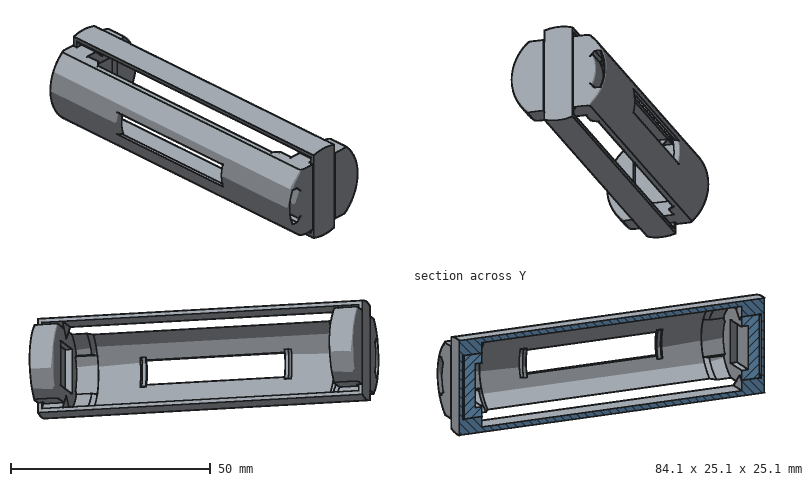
import cadquery as cq
import math

LENGTH = 84.13
RADIUS = 12.55
HALF_LENGTH = LENGTH / 2
REACH = 4 * RADIUS

STRAP_WIDTH = 7.4
STRAP_WINDOW_HEIGHT = 22.0
STRAP_END_WALL = 1.0
RIDGE_DEPTH = STRAP_WIDTH / 2

LUG_LENGTH = 6.35
LUG_INNER_X = HALF_LENGTH - LUG_LENGTH
FLAT_HEIGHT = 19.0
EDGE_ROUND = 0.8
SHELL_BORE_RADIUS = 11.66
THICK_BORE_RADIUS = 10.82
THICK_LENGTH = 3.95
RAMP_LENGTH = 1.2

END_SLOT_WIDTH = 7.9
END_SLOT_DEPTH = 1.35

POCKET_WIDTH = 10.9
POCKET_HEIGHT = 11.4
POCKET_DEPTH = 1.8

PASSAGE_INNER_RADIUS = 9.8
PASSAGE_OUTER_RADIUS = 11.8
PASSAGE_HALF_HEIGHT = 4.95
PASSAGE_CORNER_Y = -9.6
MOUTH_ROUND = 0.8

WINDOW_LENGTH = 36.0
WINDOW_HEIGHT = 6.3
WINDOW_END_ROUND = 0.75
LIP_BORE_RADIUS = 11.05
LIP_HEIGHT = 7.5
LIP_LENGTH = 1.0
LIP_RAMP = SHELL_BORE_RADIUS - LIP_BORE_RADIUS


def block(x_min, x_max, y_min, y_max, z_height):
    """Box with the given X and Y limits, centred on Z."""
    box = cq.Workplane("XY").box(x_max - x_min, y_max - y_min, z_height)
    return box.translate(((x_min + x_max) / 2, (y_min + y_max) / 2, 0))


def rod(x_min, x_max, radius):
    """Round rod along X."""
    return cq.Workplane("YZ").workplane(offset=x_min).circle(radius).extrude(x_max - x_min)


def turned(points):
    """Solid turned about the X axis from a profile of (x, radius) points."""
    return cq.Workplane("XY").polyline(points).close().revolve(360, (0, 0, 0), (1, 0, 0))


def both_ends(shape):
    """The shape built at the -X end together with its mirror image at the +X end."""
    return shape.union(shape.mirror("YZ"))


def make_ridges():
    """Four V ridges on the strap's long rails, pointing at the X axis beside each end wall."""
    root = STRAP_WINDOW_HEIGHT / 2
    ridge = (
        cq.Workplane("YZ")
        .workplane(offset=-HALF_LENGTH + STRAP_END_WALL)
        .polyline([
            (-STRAP_WIDTH / 2, root),
            (0, root - RIDGE_DEPTH),
            (STRAP_WIDTH / 2, root),
        ])
        .close()
        .extrude(LUG_LENGTH - STRAP_END_WALL)
    )
    pair = ridge.union(ridge.mirror("XY"))
    return both_ends(pair)


def make_strap():
    strap = rod(-HALF_LENGTH, HALF_LENGTH, RADIUS)
    strap = strap.intersect(block(-HALF_LENGTH, HALF_LENGTH, -STRAP_WIDTH / 2, STRAP_WIDTH / 2, REACH))
    window_end = HALF_LENGTH - STRAP_END_WALL
    strap = strap.cut(block(-window_end, window_end, -REACH, REACH, STRAP_WINDOW_HEIGHT))
    return strap.union(make_ridges())


def make_shell():
    """Half tube on the -Y side, thicker inside beside each lug."""
    shell = rod(-HALF_LENGTH, HALF_LENGTH, RADIUS).edges().fillet(EDGE_ROUND)
    ramp_start = LUG_INNER_X - THICK_LENGTH
    ramp_end = ramp_start - RAMP_LENGTH
    bore = turned([
        (-LUG_INNER_X, 0),
        (-LUG_INNER_X, THICK_BORE_RADIUS),
        (-ramp_start, THICK_BORE_RADIUS),
        (-ramp_end, SHELL_BORE_RADIUS),
        (ramp_end, SHELL_BORE_RADIUS),
        (ramp_start, THICK_BORE_RADIUS),
        (LUG_INNER_X, THICK_BORE_RADIUS),
        (LUG_INNER_X, 0),
    ])
    return shell.cut(bore).cut(block(-REACH, REACH, 0, REACH, REACH))


def make_lips():
    """Ramped lips inside the shell at the two ends of the window."""
    tip = WINDOW_LENGTH / 2
    middle_radius = (SHELL_BORE_RADIUS + RADIUS) / 2
    lip = turned([
        (-tip, middle_radius),
        (-tip, LIP_BORE_RADIUS),
        (-tip - LIP_LENGTH, LIP_BORE_RADIUS),
        (-tip - LIP_LENGTH - LIP_RAMP, SHELL_BORE_RADIUS),
        (-tip - LIP_LENGTH - LIP_RAMP, middle_radius),
    ])
    return both_ends(lip.intersect(block(-REACH, REACH, -REACH, 0, LIP_HEIGHT)))


def make_passage():
    """Passage through the -X lug and the thicker shell behind it, with a rounded mouth."""
    mouth_end = -HALF_LENGTH + MOUTH_ROUND
    arc_middle_x = mouth_end - MOUTH_ROUND * math.sqrt(0.5)
    arc_rise = MOUTH_ROUND * (1 - math.sqrt(0.5))
    far_end = -LUG_INNER_X + THICK_LENGTH + RAMP_LENGTH
    ring = (
        cq.Workplane("XY")
        .moveTo(-HALF_LENGTH, PASSAGE_INNER_RADIUS - MOUTH_ROUND)
        .threePointArc((arc_middle_x, PASSAGE_INNER_RADIUS - arc_rise), (mouth_end, PASSAGE_INNER_RADIUS))
        .lineTo(far_end, PASSAGE_INNER_RADIUS)
        .lineTo(far_end, PASSAGE_OUTER_RADIUS)
        .lineTo(mouth_end, PASSAGE_OUTER_RADIUS)
        .threePointArc(
            (arc_middle_x, PASSAGE_OUTER_RADIUS + arc_rise),
            (-HALF_LENGTH, PASSAGE_OUTER_RADIUS + MOUTH_ROUND),
        )
        .close()
        .revolve(360, (0, 0, 0), (1, 0, 0))
    )
    tip_y = PASSAGE_CORNER_Y + PASSAGE_HALF_HEIGHT
    limits = (
        cq.Workplane("YZ")
        .workplane(offset=-HALF_LENGTH)
        .polyline([
            (tip_y, 0),
            (PASSAGE_CORNER_Y, PASSAGE_HALF_HEIGHT),
            (-REACH, PASSAGE_HALF_HEIGHT),
            (-REACH, -PASSAGE_HALF_HEIGHT),
            (PASSAGE_CORNER_Y, -PASSAGE_HALF_HEIGHT),
        ])
        .close()
        .extrude(LENGTH)
    )
    return ring.intersect(limits)


def make_housing(strap_ridges):
    lug = rod(-HALF_LENGTH, -LUG_INNER_X, RADIUS).edges().fillet(EDGE_ROUND)
    housing = make_shell().union(both_ends(lug)).union(make_lips())
    housing = housing.intersect(block(-REACH, REACH, -REACH, REACH, FLAT_HEIGHT))

    half_window = WINDOW_LENGTH / 2
    housing = housing.cut(block(-half_window, half_window, -REACH, 0, WINDOW_HEIGHT))
    for side in (-1, 1):
        window_edge = cq.selectors.NearestToPointSelector((side * half_window, -RADIUS, 0))
        housing = housing.edges(window_edge).fillet(WINDOW_END_ROUND)

    end_slot = block(
        -HALF_LENGTH, -HALF_LENGTH + END_SLOT_DEPTH, -END_SLOT_WIDTH / 2, END_SLOT_WIDTH / 2, REACH
    )
    pocket = block(
        -LUG_INNER_X - POCKET_DEPTH, -LUG_INNER_X, -POCKET_WIDTH / 2, POCKET_WIDTH / 2, POCKET_HEIGHT
    )
    for cutter in (make_passage(), end_slot, pocket):
        housing = housing.cut(both_ends(cutter))

    return housing.cut(strap_ridges)


strap = make_strap()
housing = make_housing(make_ridges())

result = cq.Compound.makeCompound([housing.val(), strap.val()])